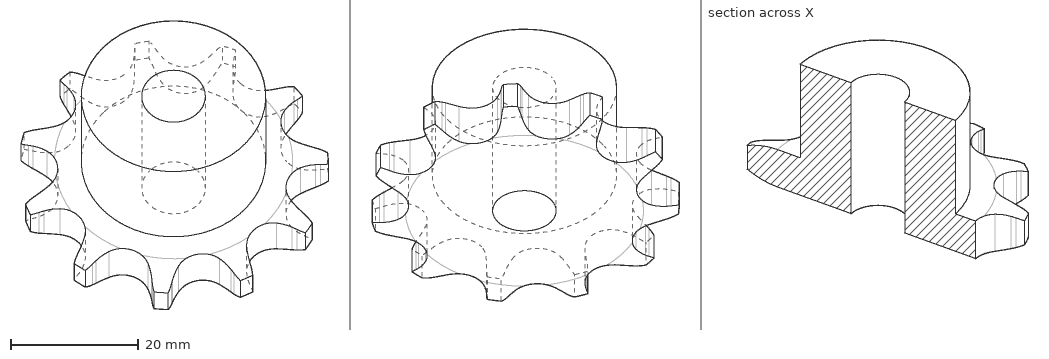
import cadquery as cq
import math

tooth_count = 11
chain_pitch = 12.7
overall_width = 48.45
tip_corner_angle = 5.6
tip_radius = overall_width / 2 / math.cos(math.radians(tip_corner_angle))
plate_thickness = 7.2
plate_face_radius = 18.7
shoulder_radius = chain_pitch

hub_diameter = 29.0
bore_diameter = 10.0
total_height = 25.0

seat_radius = 4.3
working_radius = 11.15
flat_length = 0.78
topping_radius = 7.2
seat_end_angle = 35 + 60 / tooth_count
working_turn = 18 - 56 / tooth_count
topping_turn = 15

tooth_step = 360 / tooth_count
pitch_radius = chain_pitch / 2 / math.sin(math.radians(tooth_step / 2))
gap_clearance = 4.85


def arc_point(start, radius, start_angle, end_angle):
    """Point on an arc leaving start, as its tangent turns from start_angle to end_angle (degrees).

    A positive radius is for a tangent that turns counter-clockwise, a negative one for clockwise.
    """
    first = math.radians(start_angle)
    last = math.radians(end_angle)
    return (
        start[0] + radius * (math.sin(last) - math.sin(first)),
        start[1] - radius * (math.cos(last) - math.cos(first)),
    )


def mirrored(point):
    return (point[0], -point[1])


def plate_blank():
    """Turned disc whose faces curve in towards the tooth tips."""
    run = tip_radius - plate_face_radius
    edge_depth = shoulder_radius - math.sqrt(shoulder_radius**2 - run**2)
    return (
        cq.Workplane("XZ")
        .lineTo(plate_face_radius, 0)
        .tangentArcPoint((tip_radius, edge_depth), relative=False)
        .lineTo(tip_radius, plate_thickness - edge_depth)
        .radiusArc((plate_face_radius, plate_thickness), -shoulder_radius)
        .lineTo(0, plate_thickness)
        .close()
        .revolve(360, (0, 0, 0), (0, 1, 0))
    )


def tooth_gap():
    """Cutter for one gap between teeth, centred on the +X axis."""
    root = (pitch_radius - seat_radius, 0)
    flat_angle = seat_end_angle - working_turn
    topping_end_angle = flat_angle + topping_turn

    seat_end = arc_point(root, -seat_radius, 90, seat_end_angle)
    working_mid = arc_point(seat_end, -working_radius, seat_end_angle, (seat_end_angle + flat_angle) / 2)
    working_end = arc_point(seat_end, -working_radius, seat_end_angle, flat_angle)
    flat_end = (
        working_end[0] + flat_length * math.cos(math.radians(flat_angle)),
        working_end[1] + flat_length * math.sin(math.radians(flat_angle)),
    )
    topping_mid = arc_point(flat_end, topping_radius, flat_angle, (flat_angle + topping_end_angle) / 2)
    topping_end = arc_point(flat_end, topping_radius, flat_angle, topping_end_angle)
    outer_corner = (tip_radius + gap_clearance, topping_end[1])

    return (
        cq.Workplane("XY")
        .moveTo(*mirrored(seat_end))
        .threePointArc(root, seat_end)
        .threePointArc(working_mid, working_end)
        .lineTo(*flat_end)
        .threePointArc(topping_mid, topping_end)
        .lineTo(*outer_corner)
        .lineTo(*mirrored(outer_corner))
        .lineTo(*mirrored(topping_end))
        .threePointArc(mirrored(topping_mid), mirrored(flat_end))
        .lineTo(*mirrored(working_end))
        .threePointArc(mirrored(working_mid), mirrored(seat_end))
        .close()
        .extrude(plate_thickness)
    )


def toothed_plate():
    """Plate with one gap centred on +Y and the others spaced evenly around it."""
    plate = plate_blank()
    gap = tooth_gap()
    for index in range(tooth_count):
        plate = plate.cut(gap.rotate((0, 0, 0), (0, 0, 1), 90 + index * tooth_step))
    return plate


hub = cq.Workplane("XY").circle(hub_diameter / 2).extrude(total_height)
bore = cq.Workplane("XY").circle(bore_diameter / 2).extrude(total_height)

result = toothed_plate().union(hub).cut(bore)